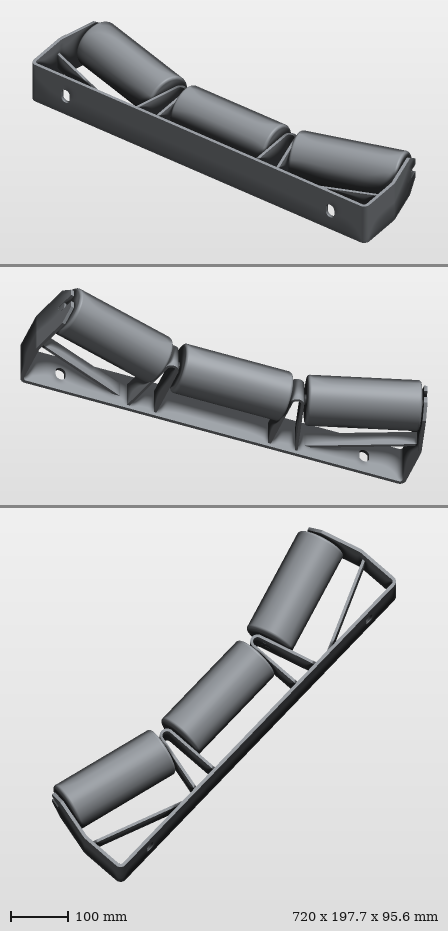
import cadquery as cq
import math


frame_length = 720.0
strip_width = 80.0
frame_thickness = 6.0
corner_radius = 11.5
bend_radius = 17.0
wing_reach = 29.5
wing_chamfer_length = 27.0
wing_chamfer_width = 19.5
mount_slot_width = 18.0
mount_slot_length = 27.0
mount_slot_spacing = 567.0

barrel_diameter = 89.0
barrel_length = 200.0
barrel_fillet = 5.0
axle_diameter = 20.0
axle_flat_width = 15.0
axle_setback = 1.0
roller_gap = 4.0
middle_roller_y = 99.0
side_roller_x = 234.0
side_roller_y = 130.0
trough_angle = 15.0
tilt_angle = 1.9

bracket_thickness = 5.0
bracket_width = 50.5
bracket_arch_radius = 13.0
brace_thickness = 5.0
brace_width = 30.0
brace_foot_x = 179.0
brace_head_y = 77.0

half_length = frame_length / 2
mid_width = strip_width / 2
inner_x = half_length - frame_thickness
barrel_radius = barrel_diameter / 2
support_distance = barrel_length / 2 + roller_gap
cos_trough = math.cos(math.radians(trough_angle))
sin_trough = math.sin(math.radians(trough_angle))
tan_trough = math.tan(math.radians(trough_angle))
sin_tilt = math.sin(math.radians(tilt_angle))

side_roller_z = mid_width - (support_distance + frame_thickness / 2) * sin_tilt
middle_roller_z = side_roller_z - support_distance * sin_tilt

cut_margin = 1.0


def along_side_axis(distance, sideways=0.0):
    """XY point at a distance from the +X roller's centre along its axis, moved sideways up a wing."""
    x = side_roller_x + distance * cos_trough - sideways * sin_trough
    y = side_roller_y + distance * sin_trough + sideways * cos_trough
    return (x, y)


def place_side(body):
    """Move a body built about the X axis onto the axis of the +X roller."""
    tilted = body.rotate((0, 0, 0), (0, 1, 0), -tilt_angle)
    turned = tilted.rotate((0, 0, 0), (0, 0, 1), trough_angle)
    return turned.translate((side_roller_x, side_roller_y, side_roller_z))


def place_middle(body):
    """Move a body built about the X axis onto the axis of the middle roller."""
    return body.translate((0, middle_roller_y, middle_roller_z))


def with_mirror(body):
    """The body and its copy on the opposite side of the YZ plane."""
    return [body, body.mirror("YZ")]



def axle_end(start, length):
    """Flattened axle end that runs along X from start; a negative length runs toward -X."""
    bar = cq.Workplane("YZ").workplane(offset=start).circle(axle_diameter / 2).extrude(length)
    flats = (
        cq.Workplane("YZ").workplane(offset=start)
        .rect(axle_diameter, axle_flat_width).extrude(length)
    )
    return bar.intersect(flats)


def make_roller(left_seat, right_seat):
    """Roller along X, with axle ends that fill supports of the two given thicknesses."""
    barrel = (
        cq.Workplane("YZ").workplane(offset=-barrel_length / 2)
        .circle(barrel_radius).extrude(barrel_length)
        .faces("<X or >X").edges().fillet(barrel_fillet)
    )
    round_reach = support_distance - axle_setback
    axle = (
        cq.Workplane("YZ").workplane(offset=-round_reach)
        .circle(axle_diameter / 2).extrude(2 * round_reach)
    )
    left_end = axle_end(-round_reach, -(axle_setback + left_seat))
    right_end = axle_end(round_reach, axle_setback + right_seat)
    return barrel.union(axle).union(left_end).union(right_end)



def round_bend(body, x, y, radius):
    """Round the Z edge at (x, y) and the one at (-x, y)."""
    for side in (1, -1):
        corner = cq.NearestToPointSelector((side * x, y, mid_width))
        body = body.edges("|Z").edges(corner).fillet(radius)
    return body


def make_frame_strip():
    """Base, uprights and inward-leaning wings as one bent strip."""
    wing_outer = support_distance + frame_thickness
    wing_foot_x, wing_foot_y = along_side_axis(wing_outer)
    bend_y = wing_foot_y - (half_length - wing_foot_x) / tan_trough
    inner_bend_y = bend_y - frame_thickness * math.tan(math.radians(trough_angle / 2))
    right_half = [
        (half_length, 0),
        (half_length, bend_y),
        along_side_axis(wing_outer, wing_reach),
        along_side_axis(support_distance, wing_reach),
        (inner_x, inner_bend_y),
        (inner_x, frame_thickness),
    ]
    left_half = [(-x, y) for x, y in reversed(right_half)]
    strip = cq.Workplane("XY").polyline(right_half + left_half).close().extrude(strip_width)
    strip = round_bend(strip, half_length, 0, corner_radius)
    strip = round_bend(strip, inner_x, frame_thickness, corner_radius - frame_thickness)
    strip = round_bend(strip, half_length, bend_y, bend_radius)
    return round_bend(strip, inner_x, inner_bend_y, bend_radius - frame_thickness)


def wing_chamfer_cutter(z_edge, z_inward):
    """Prism that bevels one tip corner of the +X wing; z_inward points into the strip."""
    tip = wing_reach
    corner = [
        (tip, z_edge),
        (tip - wing_chamfer_length, z_edge),
        (tip, z_edge + z_inward * wing_chamfer_width),
    ]
    prism = (
        cq.Workplane("YZ").workplane(offset=support_distance - cut_margin)
        .polyline(corner).close().extrude(frame_thickness + 2 * cut_margin)
    )
    turned = prism.rotate((0, 0, 0), (0, 0, 1), trough_angle)
    return turned.translate((side_roller_x, side_roller_y, 0))


def axle_slot_cutter():
    """Slot that is open at the wing tip and ends in a seat for the outer axle end."""
    start = support_distance - cut_margin
    depth = frame_thickness + 2 * cut_margin
    seat = axle_end(start, depth)
    channel_length = wing_reach + axle_diameter
    channel = (
        cq.Workplane("YZ").workplane(offset=start)
        .center(channel_length / 2, 0).rect(channel_length, axle_flat_width).extrude(depth)
    )
    return place_side(seat.union(channel))


def make_frame():
    frame = make_frame_strip()
    cutters = [
        wing_chamfer_cutter(0, 1),
        wing_chamfer_cutter(strip_width, -1),
        axle_slot_cutter(),
    ]
    for cutter in cutters:
        for copy in with_mirror(cutter):
            frame = frame.cut(copy)
    mount_slots = (
        cq.Workplane("XZ").center(0, mid_width)
        .rarray(mount_slot_spacing, 7, 2, 1)
        .slot2D(mount_slot_length, mount_slot_width, 90).extrude(-frame_thickness)
    )
    return frame.cut(mount_slots)



def make_bracket():
    """+X bracket: an upright leg and a leaning leg joined by a round arch, standing on the base."""
    arch_x = support_distance + bracket_arch_radius
    face_x, face_y = along_side_axis(-support_distance)
    arch_y = face_y + ((face_x - arch_x) * cos_trough - bracket_arch_radius) / sin_trough
    arch_inner_radius = bracket_arch_radius - bracket_thickness
    crown_angle = math.radians((180 + trough_angle) / 2)

    def leaning_x(radius):
        """X where the leaning leg's face at this arch radius meets the base."""
        return arch_x + radius / cos_trough + (arch_y - frame_thickness) * tan_trough

    def leaning_top(radius):
        return (arch_x + radius * cos_trough, arch_y + radius * sin_trough)

    def crown(radius):
        return (arch_x + radius * math.cos(crown_angle), arch_y + radius * math.sin(crown_angle))

    outline = (
        cq.Workplane("XY").workplane(offset=middle_roller_z - bracket_width / 2)
        .moveTo(arch_x - bracket_arch_radius, frame_thickness)
        .lineTo(arch_x - bracket_arch_radius, arch_y)
        .threePointArc(crown(bracket_arch_radius), leaning_top(bracket_arch_radius))
        .lineTo(leaning_x(bracket_arch_radius), frame_thickness)
        .lineTo(leaning_x(arch_inner_radius), frame_thickness)
        .lineTo(*leaning_top(arch_inner_radius))
        .threePointArc(crown(arch_inner_radius), (arch_x - arch_inner_radius, arch_y))
        .lineTo(arch_x - arch_inner_radius, frame_thickness)
        .close()
    )
    seat_start = support_distance - cut_margin
    seat_depth = bracket_thickness + 2 * cut_margin
    middle_seat = place_middle(axle_end(seat_start, seat_depth))
    side_seat = place_side(axle_end(-seat_start, -seat_depth))
    return outline.extrude(bracket_width).cut(middle_seat).cut(side_seat)



def make_brace():
    """+X brace: a flat bar from the base up to the upright, cut flush with both."""
    run = inner_x - brace_foot_x
    rise = brace_head_y - frame_thickness
    slope_length = math.hypot(run, rise)
    half_foot = brace_thickness / 2 * slope_length / rise
    half_head = brace_thickness / 2 * slope_length / run
    return (
        cq.Workplane("XY").workplane(offset=mid_width - brace_width / 2)
        .polyline([
            (brace_foot_x - half_foot, frame_thickness),
            (brace_foot_x + half_foot, frame_thickness),
            (inner_x, brace_head_y - half_head),
            (inner_x, brace_head_y + half_head),
        ])
        .close().extrude(brace_width)
    )



frame = make_frame()
brackets = with_mirror(make_bracket())
braces = with_mirror(make_brace())
middle_roller = place_middle(make_roller(bracket_thickness, bracket_thickness))
side_rollers = with_mirror(place_side(make_roller(bracket_thickness, frame_thickness)))

bodies = [frame, *brackets, *braces, middle_roller, *side_rollers]
result = cq.Compound.makeCompound([body.solids().val() for body in bodies])